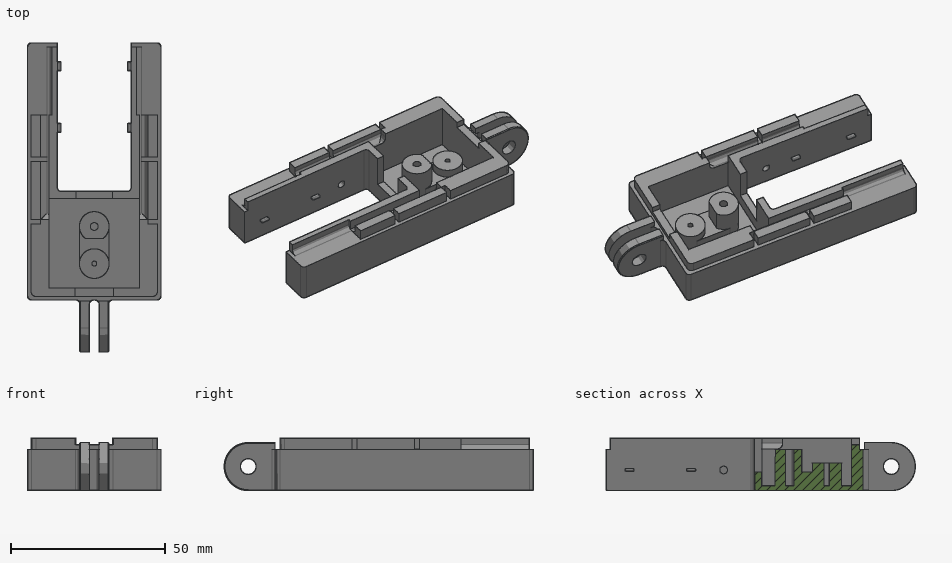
import cadquery as cq
import math

HALF_WIDTH = 21.6
BODY_LENGTH = 83.2
SHOULDER_Z = 13.4
TOP_Z = 17.0
CORNER_RADIUS = 1.3
BOTTOM_CHAMFER = 0.2

LIP_INSET = 1.2
LIP_CORNER_RADIUS = 1.5
LIP_HALF_WIDTH = HALF_WIDTH - LIP_INSET
LIP_BACK_Y = 81.9

SLOT_HALF_WIDTH = 11.9
SLOT_FRONT_Y = 35.2
SLOT_CORNER_RADIUS = 1.2
POCKET_HALF_WIDTH = 14.6
POCKET_FRONT_Y = 3.9
POCKET_BACK_Y = 32.8
FLOOR_Z = 1.6

PASSAGE_HALF_WIDTH = 5.9
PASSAGE_Z = 6.1
NOTCH_HALF_WIDTH = 6.2
NOTCH_Z = 14.9

GROOVE_X = 15.2
INNER_COVE_RADIUS = 1.5
OUTER_COVE_RADIUS = 2.1
INNER_RAIL_X = POCKET_HALF_WIDTH
THIN_RAIL_X = GROOVE_X - INNER_COVE_RADIUS
OUTER_RAIL_X = GROOVE_X + OUTER_COVE_RADIUS
GROOVE_FRONT_Y = 26.1
OUTER_RAIL_BACK_Y = 59.8
GAP_WIDTH = 1.5
FRONT_GAP_Y = GROOVE_FRONT_Y - GAP_WIDTH
REAR_GAP_Y = 44.8

BOSS_DIAMETER = 9.6
BOSS_Y = 11.8
BOSS_Z = 9.0
BOSS_HOLE_DIAMETER = 1.6
POST_Y = 23.8
POST_Z = SHOULDER_Z
POST_HOLE_DIAMETER = 2.5
POST_FLAT_Y = 19.9
WEB_Z = PASSAGE_Z

ARM_MID_Z = SHOULDER_Z / 2
CLIP_LENGTH = 3.0
CLIP_REACH = 1.2
CLIP_HEIGHT = 0.9
CLIP_FILLET = 0.4
CLIP_YS = (55.7, 75.6)
SIDE_HOLE_DIAMETER = 2.5
SIDE_HOLE_DEPTH = 3.0
SIDE_HOLE_Y = 45.2

LUG_REACH = 16.8
LUG_RADIUS = 7.8
LUG_INNER_X = 1.6
LUG_OUTER_X = 4.7
LUG_CHAMFER = 0.3
LUG_ROOT_Y = -0.3
LUG_HOLE_DIAMETER = 5.0
ROOT_FILLET_RADIUS = 1.3


def block(x_range, y_range, z_range):
    """Box given by its limits along each axis."""
    size = [high - low for low, high in (x_range, y_range, z_range)]
    corner = (x_range[0], y_range[0], z_range[0])
    return cq.Workplane("XY").box(*size, centered=False).translate(corner)


def cylinder(diameter, y, z_low, z_high):
    """Upright cylinder on the centre plane."""
    return cq.Workplane("XY", origin=(0, y, z_low)).circle(diameter / 2).extrude(z_high - z_low)


def both_sides(solid):
    """The solid together with its mirror image on the -X side."""
    return solid.union(solid.mirror("YZ"))


def make_lug_root():
    """Web with concave flanks that joins both lugs to the body."""
    flank_x = LUG_OUTER_X + ROOT_FILLET_RADIUS
    web = block((-flank_x, flank_x), (-LUG_INNER_X, CORNER_RADIUS), (0, SHOULDER_Z))
    relief = block((LUG_OUTER_X, flank_x), (-LUG_INNER_X, -ROOT_FILLET_RADIUS), (0, SHOULDER_Z))
    flank = (
        cq.Workplane("XY", origin=(flank_x, -ROOT_FILLET_RADIUS, 0))
        .circle(ROOT_FILLET_RADIUS)
        .extrude(SHOULDER_Z)
    )
    gap_end = cylinder(2 * LUG_INNER_X, -LUG_INNER_X, 0, SHOULDER_Z)
    return web.cut(both_sides(relief.union(flank))).cut(gap_end)


def make_shell():
    """Body and lug root with the raised lip, the open slot and the pocket."""
    body = block((-HALF_WIDTH, HALF_WIDTH), (0, BODY_LENGTH), (0, SHOULDER_Z))
    body = body.edges("|Z").fillet(CORNER_RADIUS)
    body = body.union(make_lug_root()).faces("<Z").chamfer(BOTTOM_CHAMFER)
    lip = block((-LIP_HALF_WIDTH, LIP_HALF_WIDTH), (LIP_INSET, LIP_BACK_Y), (0, TOP_Z))
    lip = lip.edges("|Z and <Y").fillet(LIP_CORNER_RADIUS)
    slot = block((-SLOT_HALF_WIDTH, SLOT_HALF_WIDTH), (SLOT_FRONT_Y, BODY_LENGTH), (0, TOP_Z))
    slot = slot.edges("|Z and <Y").fillet(SLOT_CORNER_RADIUS)
    pocket = block(
        (-POCKET_HALF_WIDTH, POCKET_HALF_WIDTH), (POCKET_FRONT_Y, POCKET_BACK_Y), (FLOOR_Z, TOP_Z)
    )
    return body.union(lip).cut(slot).cut(pocket)


def make_passages():
    """Openings in the wall behind the pocket and in the lip in front of it."""
    passage = block(
        (-PASSAGE_HALF_WIDTH, PASSAGE_HALF_WIDTH), (POCKET_BACK_Y, SLOT_FRONT_Y), (PASSAGE_Z, TOP_Z)
    )
    notch = block(
        (-NOTCH_HALF_WIDTH, NOTCH_HALF_WIDTH), (LIP_INSET, POCKET_FRONT_Y), (NOTCH_Z, TOP_Z)
    )
    return passage.union(notch)


def make_groove():
    """Groove with a cove on both sides and at its front end."""
    cove_reach = GROOVE_X - INNER_RAIL_X
    rail_foot_z = SHOULDER_Z + INNER_COVE_RADIUS - math.sqrt(INNER_COVE_RADIUS**2 - cove_reach**2)
    section = (
        cq.Workplane("XZ")
        .moveTo(INNER_RAIL_X, TOP_Z)
        .lineTo(INNER_RAIL_X, rail_foot_z)
        .radiusArc((GROOVE_X, SHOULDER_Z), -INNER_COVE_RADIUS)
        .radiusArc((OUTER_RAIL_X, SHOULDER_Z + OUTER_COVE_RADIUS), -OUTER_COVE_RADIUS)
        .lineTo(OUTER_RAIL_X, TOP_Z)
        .close()
        .extrude(-OUTER_RAIL_BACK_Y)
    )
    side = (
        cq.Workplane("YZ")
        .moveTo(GROOVE_FRONT_Y, TOP_Z)
        .lineTo(GROOVE_FRONT_Y, SHOULDER_Z + OUTER_COVE_RADIUS)
        .radiusArc((GROOVE_FRONT_Y + OUTER_COVE_RADIUS, SHOULDER_Z), -OUTER_COVE_RADIUS)
        .lineTo(OUTER_RAIL_BACK_Y, SHOULDER_Z)
        .lineTo(OUTER_RAIL_BACK_Y, TOP_Z)
        .close()
        .extrude(HALF_WIDTH)
    )
    return section.intersect(side)


def make_arm_relief():
    """Removes the lip outside the thin rail near the arm end, leaving a cove at the rail foot."""
    return (
        cq.Workplane("XZ", origin=(0, OUTER_RAIL_BACK_Y, 0))
        .moveTo(THIN_RAIL_X, TOP_Z)
        .lineTo(THIN_RAIL_X, SHOULDER_Z + INNER_COVE_RADIUS)
        .radiusArc((GROOVE_X, SHOULDER_Z), -INNER_COVE_RADIUS)
        .lineTo(HALF_WIDTH, SHOULDER_Z)
        .lineTo(HALF_WIDTH, TOP_Z)
        .close()
        .extrude(OUTER_RAIL_BACK_Y - BODY_LENGTH)
    )


def make_rail_gaps():
    """Gaps that split the outer rail."""
    front = block(
        (OUTER_RAIL_X, HALF_WIDTH), (FRONT_GAP_Y, FRONT_GAP_Y + GAP_WIDTH), (SHOULDER_Z, TOP_Z)
    )
    rear = block((GROOVE_X, HALF_WIDTH), (REAR_GAP_Y, REAR_GAP_Y + GAP_WIDTH), (SHOULDER_Z, TOP_Z))
    return front.union(rear)


def make_bosses():
    """Tall post with a flat, shorter boss and the web between them, with blind holes."""
    radius = BOSS_DIAMETER / 2
    post = cylinder(BOSS_DIAMETER, POST_Y, 0, POST_Z)
    post = post.cut(block((-radius, radius), (BOSS_Y, POST_FLAT_Y), (0, POST_Z)))
    boss = cylinder(BOSS_DIAMETER, BOSS_Y, 0, BOSS_Z)
    web = block((-radius, radius), (BOSS_Y, POST_Y), (0, WEB_Z))
    post_hole = cylinder(POST_HOLE_DIAMETER, POST_Y, FLOOR_Z, POST_Z)
    boss_hole = cylinder(BOSS_HOLE_DIAMETER, BOSS_Y, FLOOR_Z, BOSS_Z)
    return post.union(boss).union(web).cut(post_hole).cut(boss_hole)


def make_clip(y):
    """Small rounded clip on the slot face of the +X arm."""
    clip = cq.Workplane("XY").box(2 * CLIP_REACH, CLIP_LENGTH, CLIP_HEIGHT)
    return clip.edges().fillet(CLIP_FILLET).translate((SLOT_HALF_WIDTH, y, ARM_MID_Z))


def make_side_hole():
    """Blind hole in the slot face of the +X arm."""
    return (
        cq.Workplane("YZ", origin=(SLOT_HALF_WIDTH, SIDE_HOLE_Y, ARM_MID_Z))
        .circle(SIDE_HOLE_DIAMETER / 2)
        .extrude(SIDE_HOLE_DEPTH)
    )


def make_lug():
    """Hinge lug on the +X side, without its root fillets."""
    axis_y = LUG_RADIUS - LUG_REACH
    lug = (
        cq.Workplane("YZ", origin=(LUG_INNER_X, 0, 0))
        .moveTo(LUG_ROOT_Y, 0)
        .lineTo(axis_y, 0)
        .threePointArc((-LUG_REACH, LUG_RADIUS), (axis_y, 2 * LUG_RADIUS))
        .lineTo(LUG_ROOT_Y, 2 * LUG_RADIUS)
        .close()
        .extrude(LUG_OUTER_X - LUG_INNER_X)
    )
    lug = lug.faces(">X").edges("not >Y").chamfer(LUG_CHAMFER)
    hole = (
        cq.Workplane("YZ", origin=(0, axis_y, LUG_RADIUS))
        .circle(LUG_HOLE_DIAMETER / 2)
        .extrude(LUG_OUTER_X)
    )
    return lug.cut(hole)


result = make_shell().cut(make_passages())
for cutter in (make_groove(), make_arm_relief(), make_rail_gaps(), make_side_hole()):
    result = result.cut(both_sides(cutter))
result = result.union(make_bosses())
for clip_y in CLIP_YS:
    result = result.union(both_sides(make_clip(clip_y)))
result = result.union(both_sides(make_lug()))